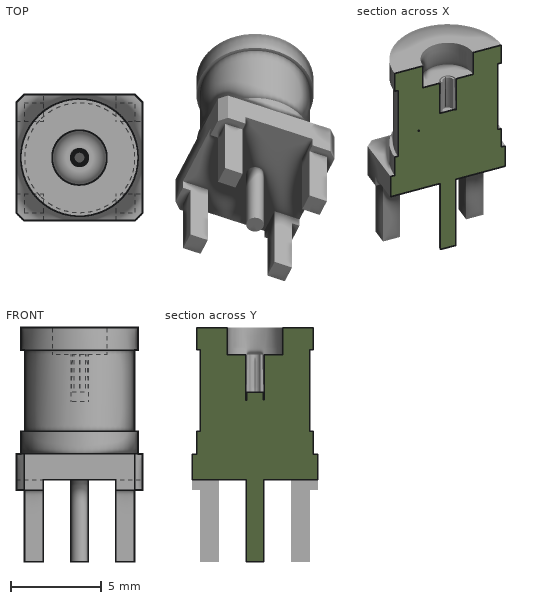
import cadquery as cq

total_height = 13.0
base_side = 7.0
base_top = 5.98
base_bottom = 3.98
slot_top = 4.55
slot_width = 4.0
corner_chamfer = 0.43

barrel_diameter = 6.1
collar_diameter = 6.5
collar_height = 1.26
bore_diameter = 3.04
bore_depth = 1.5

leg_side = (barrel_diameter - slot_width) / 2
leg_spacing = slot_width + leg_side

pin_diameter = 0.98
contact_top = total_height - bore_depth
contact_length = 2.6
contact_tip_diameter = 0.8
socket_diameter = 0.64
socket_depth = 2.08
slit_width = 0.05


def cylinder(diameter, bottom, top):
    return cq.Workplane("XY").workplane(offset=bottom).circle(diameter / 2).extrude(top - bottom)


def make_base():
    block = (
        cq.Workplane("XY")
        .workplane(offset=base_bottom)
        .rect(base_side, base_side)
        .extrude(base_top - base_bottom)
        .edges("|Z")
        .chamfer(corner_chamfer)
    )
    for length_x, length_y in ((base_side, slot_width), (slot_width, base_side)):
        slot = (
            cq.Workplane("XY")
            .workplane(offset=base_bottom)
            .rect(length_x, length_y)
            .extrude(slot_top - base_bottom)
        )
        block = block.cut(slot)
    return block


def make_barrel():
    barrel = cylinder(barrel_diameter, base_top, total_height)
    lower_collar = cylinder(collar_diameter, base_top, base_top + collar_height)
    upper_collar = cylinder(collar_diameter, total_height - collar_height, total_height)
    return barrel.union(lower_collar).union(upper_collar)


def make_legs():
    return (
        cq.Workplane("XY")
        .rect(leg_spacing, leg_spacing, forConstruction=True)
        .vertices()
        .rect(leg_side, leg_side)
        .extrude(base_bottom)
    )


def make_bore():
    bore = cylinder(bore_diameter, contact_top, total_height)
    well = cylinder(pin_diameter, contact_top - contact_length, contact_top)
    return bore.union(well)


def make_contact():
    contact = (
        cq.Workplane("XY")
        .workplane(offset=contact_top - contact_length)
        .circle(pin_diameter / 2)
        .workplane(offset=contact_length)
        .circle(contact_tip_diameter / 2)
        .loft(ruled=True)
    )
    socket_floor = contact_top - socket_depth
    contact = contact.cut(cylinder(socket_diameter, socket_floor, contact_top))
    for length_x, length_y in ((pin_diameter, slit_width), (slit_width, pin_diameter)):
        slit = (
            cq.Workplane("XY")
            .workplane(offset=socket_floor)
            .rect(length_x, length_y)
            .extrude(socket_depth)
        )
        contact = contact.cut(slit)
    return contact


pin = cylinder(pin_diameter, 0, slot_top)
housing = make_base().union(make_barrel()).union(make_legs()).union(pin)
result = housing.cut(make_bore()).union(make_contact())